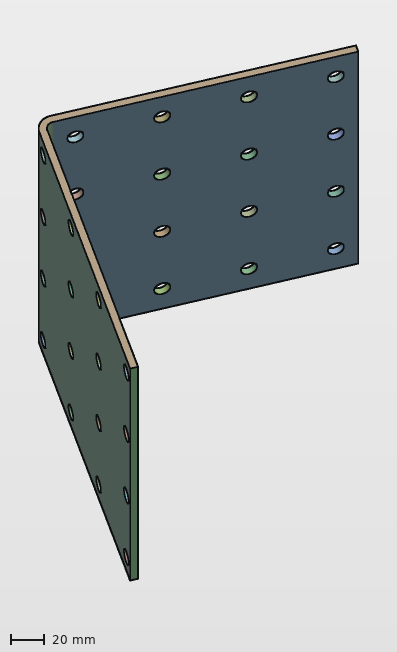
import cadquery as cq

side = 200.0
thickness = 5.0
inner_bend_radius = 5.0
outer_bend_radius = inner_bend_radius + thickness

hole_diameter = 10.0
holes_per_side = 4
front_pitch = 58.0
front_end_margin = 8.0
side_pitch = 54.0
side_end_margin = 14.0


def bent_sheet():
    """L-shaped sheet with its outer corner along the Z axis."""
    outer = cq.Workplane("XY").rect(side, side, centered=False).extrude(side)
    outer = outer.edges("|Z and <X and <Y").fillet(outer_bend_radius)
    inner = (
        cq.Workplane("XY")
        .move(thickness, thickness)
        .rect(side, side, centered=False)
        .extrude(side)
        .edges("|Z and <X and <Y")
        .fillet(inner_bend_radius)
    )
    return outer.cut(inner)


def hole_grid(plane, pitch, end_margin, through_depth):
    """Cylinders for a grid of holes through one leg; through_depth is signed along the plane normal."""
    grid_centre = side - end_margin - pitch * (holes_per_side - 1) / 2
    return (
        cq.Workplane(plane)
        .center(grid_centre, side / 2)
        .rarray(pitch, pitch, holes_per_side, holes_per_side)
        .circle(hole_diameter / 2)
        .extrude(through_depth)
    )


front_holes = hole_grid("XZ", front_pitch, front_end_margin, -thickness)
side_holes = hole_grid("YZ", side_pitch, side_end_margin, thickness)

result = bent_sheet().cut(front_holes).cut(side_holes)